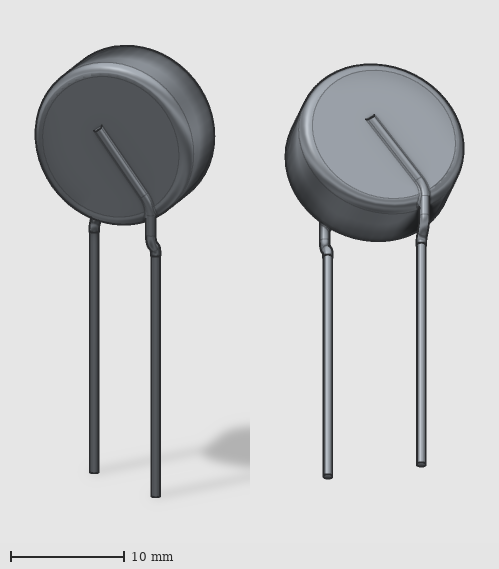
import cadquery as cq
import math

disc_diameter = 15.0
disc_thickness = 6.7
disc_edge_radius = 1.0

overall_height = 40
overall_depth = 7.2
wire_diameter = 0.8
coated_diameter = 0.9
lead_x = disc_diameter / 4
lead_y = 2

coated_y = (overall_depth - coated_diameter) / 2
slant_end_x = -1.1
slant_end_z = 1.45
slant_angle = 52.5
face_bend_radius = 2.8
drop_end_z = -7.75
upper_bend_radius = 1.6
lower_bend_radius = 0.95
coating_tail = 0.15

lead_fillet_radius = 0.2

lead_tip_z = disc_diameter / 2 - overall_height


def make_disc():
    back_plane = cq.Workplane("XZ", origin=(0, disc_thickness / 2, 0))
    disc = back_plane.circle(disc_diameter / 2).extrude(disc_thickness)
    return disc.edges().fillet(disc_edge_radius)


def coated_path():
    """Return the coated wire's centreline edges and the height where the coating ends."""
    slant = math.radians(slant_angle)
    turn = math.pi / 2 - slant
    corner_z = slant_end_z - (lead_x - slant_end_x) * math.tan(slant)
    tangent_length = face_bend_radius * math.tan(turn / 2)
    bend_end_z = corner_z - tangent_length

    bend_sum = upper_bend_radius + lower_bend_radius
    s_angle = math.acos(1 - (coated_y - lead_y) / bend_sum)
    s_end_z = drop_end_z - bend_sum * math.sin(s_angle)
    coating_end_z = s_end_z - coating_tail

    def upper_arc_point(angle):
        return cq.Vector(
            lead_x,
            -coated_y + upper_bend_radius * (1 - math.cos(angle)),
            drop_end_z - upper_bend_radius * math.sin(angle),
        )

    def lower_arc_point(angle):
        return cq.Vector(
            lead_x,
            -lead_y - lower_bend_radius * (1 - math.cos(angle)),
            s_end_z + lower_bend_radius * math.sin(angle),
        )

    slant_end = cq.Vector(slant_end_x, -coated_y, slant_end_z)
    bend_start = cq.Vector(
        lead_x - tangent_length * math.cos(slant),
        -coated_y,
        corner_z + tangent_length * math.sin(slant),
    )
    bend_middle = cq.Vector(
        lead_x - face_bend_radius * (1 - math.cos(turn / 2)),
        -coated_y,
        bend_end_z + face_bend_radius * math.sin(turn / 2),
    )
    bend_end = cq.Vector(lead_x, -coated_y, bend_end_z)
    drop_end = upper_arc_point(0)
    s_middle = upper_arc_point(s_angle)
    s_end = lower_arc_point(0)
    coating_end = cq.Vector(lead_x, -lead_y, coating_end_z)

    edges = [
        cq.Edge.makeLine(slant_end, bend_start),
        cq.Edge.makeThreePointArc(bend_start, bend_middle, bend_end),
        cq.Edge.makeLine(bend_end, drop_end),
        cq.Edge.makeThreePointArc(drop_end, upper_arc_point(s_angle / 2), s_middle),
        cq.Edge.makeThreePointArc(s_middle, lower_arc_point(s_angle / 2), s_end),
        cq.Edge.makeLine(s_end, coating_end),
    ]
    return edges, coating_end_z


def make_lead():
    edges, coating_end_z = coated_path()
    path = cq.Wire.assembleEdges(edges)
    start_plane = cq.Plane(edges[0].startPoint(), xDir=(0, 1, 0), normal=edges[0].tangentAt(0))
    coated = cq.Workplane(start_plane).circle(coated_diameter / 2).sweep(cq.Workplane(path))
    bare = (
        cq.Workplane("XY", origin=(lead_x, -lead_y, lead_tip_z))
        .circle(wire_diameter / 2)
        .extrude(coating_end_z - lead_tip_z)
    )
    return coated.union(bare)


def fillet_leads(part):
    """Round the inner corners along the leads; each fillet runs on along its tangent edges."""
    corners = [
        edge
        for edge in part.edges("%LINE").vals()
        if math.isclose(abs(edge.Center().y), disc_thickness / 2)
    ]
    return part.newObject(corners).fillet(lead_fillet_radius)


front_lead = make_lead()
back_lead = front_lead.rotate((0, 0, 0), (0, 0, 1), 180)
result = fillet_leads(make_disc().union(front_lead).union(back_lead))